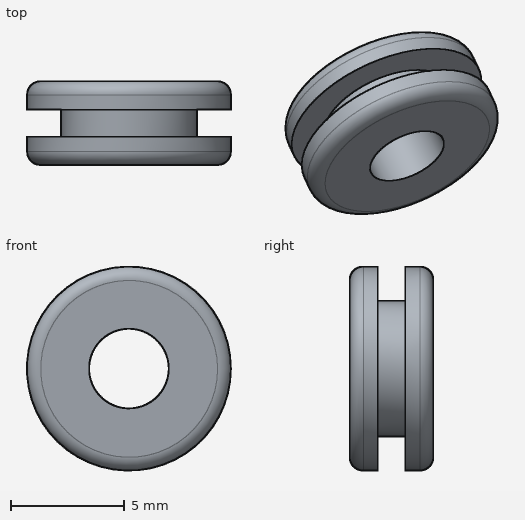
import cadquery as cq

flange_diameter = 9.0
neck_diameter = 6.0
bore_diameter = 3.5
total_width = 3.7
groove_width = 1.2
rim_radius = 0.6


def cylinder_along_y(diameter, length):
    """Solid cylinder on the Y axis, centred on the origin."""
    start_plane = cq.Workplane("XZ", origin=(0, length / 2, 0))
    return start_plane.circle(diameter / 2).extrude(length)


body = cylinder_along_y(flange_diameter, total_width).faces("<Y or >Y").edges().fillet(rim_radius)

groove = cylinder_along_y(flange_diameter, groove_width).cut(
    cylinder_along_y(neck_diameter, groove_width)
)

bore = cylinder_along_y(bore_diameter, total_width)

result = body.cut(groove).cut(bore)